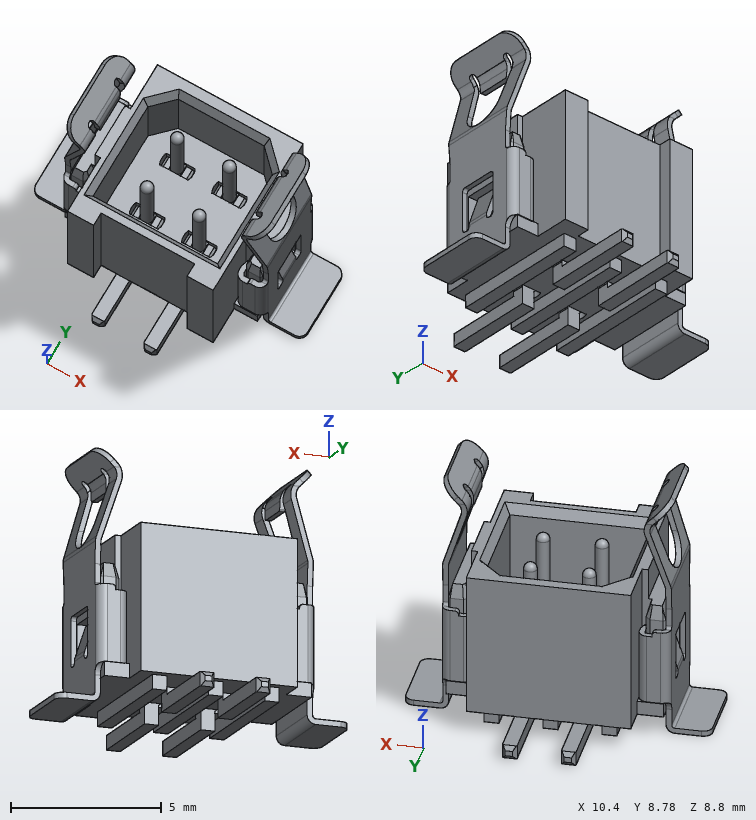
import cadquery as cq
import math

HOUSING_HALF_X = 2.79
HOUSING_REAR_Y = 2.79
HOUSING_FRONT_Y = -3.18
HOUSING_BOTTOM_Z = 0.8
HOUSING_TOP_Z = 5.91
FRONT_RECESS_HALF_X = 1.79
FRONT_RECESS_DEPTH = 0.5

CAVITY_HALF_X = 2.38
CAVITY_HALF_Y = 2.19
CAVITY_CORNER = 0.74
CAVITY_FLOOR_Z = 2.73
LEAD_IN_WIDTH = 0.22
LEAD_IN_DEPTH = 0.34

STANDOFF_PITCH = 2.0
STANDOFF_WIDTH = 0.51
STANDOFF_HALF_Y = 2.5
STANDOFF_BOTTOM_Z = 0.3

PAD_FACE_X = 3.0
PAD_HALF_Y = 1.0
LEDGE_HALF_Y = 1.79
LEDGE_TOP_Z = 1.3
POST_HALF_Y = 1.51
POST_OUTER_CHAMFER = 0.07
POST_INNER_CHAMFER = 0.17
POST_SHOULDER_Z = 4.31
POST_TOP_Z = 4.81
POST_TAPER = 15
POCKET_HALF_Y = 0.7
POCKET_TOP_Z = 3.2
POCKET_DEPTH = 0.46

PIN_PITCH = 2.0
PIN_THICKNESS = 0.46
PIN_BOTTOM_Z = 0.05
PIN_TOP_Z = 5.7
LEAD_WIDTH = 0.5
LEAD_TIP_Y = 4.388
LEAD_TIP_LENGTH = 0.12
LEAD_TIP_INSET = 0.16
BARB_HALF_X = 0.54
BARB_TOP_HALF_X = 0.45
BARB_START_Z = 0.73
BARB_TOP_Z = 2.5
PIN_SQUARE_TOP_Z = 2.6
PIN_SLOT_RADIUS = 0.59

SHEET = 0.2
PLATE_OUTER_X = 3.88
PLATE_HALF_Y = 1.41
FOOT_END_X = 5.2
FOOT_BEND = 0.1
FOOT_CORNER = 0.32
SHOULDER_BEND = 0.3
SHOULDER_Z = 5.51
LEAN = 17.9
CROWN_BEND = 0.4
TIP_ANGLE = 135
CLIP_TOP_Z = 8.8
TIP_HALF_Y = 1.69
TIP_CORNER = 0.67
FLARE_START_Z = 4.74
FLARE_END_Z = 8.06

OPENING_BOTTOM_Z = 5.65
OPENING_ARC_Z = 6.45
OPENING_ARC_HALF_Y = 0.81
OPENING_TOP_HALF_Y = 1.0
SLOT_RISE = 0.04
SLOT_RUN = 0.26
TONGUE_TOP_HALF_Y = 0.72
TONGUE_TIP_HALF_Y = 0.66
TONGUE_TIP_Z = 7.44
TONGUE_TIP_CORNER = 0.06

WING_HALF_Y = 1.76
WING_BEND = 0.11
WING_TOP_Z = 3.99
WING_TOP_FILLET = 0.1
WING_FOOT_RADIUS = 0.4
LIP_TOP_Z = 3.81
LIP_STEP_X = 3.28
LIP_STEP_RADIUS = 0.12
LIP_GAP_HALF_Y = 1.02
LIP_FLARE_HALF_Y = 1.29
LIP_FLARE_DEPTH = 0.09

WINDOW_HALF_Y = 0.765
WINDOW_BOTTOM_Z = 1.7
WINDOW_TOP_Z = 3.45
WINDOW_CORNER = 0.12
LATCH_HALF_Y = 0.44
LATCH_ROOT_Z = 1.82
LATCH_BEND_Z = 1.92
LATCH_TOP_Z = 3.09
LATCH_LEAN = 19
LATCH_BEND = 0.44

PLATE_INNER_X = PLATE_OUTER_X - SHEET
CLIP_REACH = FOOT_END_X + 0.1


def block(x0, x1, y0, y1, z0, z1):
    """Axis-aligned box between the given limits."""
    return cq.Workplane("XY").box(x1 - x0, y1 - y0, z1 - z0, centered=False).translate((x0, y0, z0))


def extrude_along_y(profile, half_width):
    """Extrude a closed XZ profile evenly to both sides of y = 0."""
    return profile.extrude(half_width, both=True)


def polar(centre, radius, angle):
    """Point at an angle in degrees on a circle."""
    turn = math.radians(angle)
    return (centre[0] + radius * math.cos(turn), centre[1] + radius * math.sin(turn))


def mirror_x(body):
    return body.mirror("YZ")


def cavity_outline(z, grow):
    """Cavity outline with its two rear corners cut off, grown evenly by an offset."""
    half_x = CAVITY_HALF_X + grow
    half_y = CAVITY_HALF_Y + grow
    corner = CAVITY_CORNER + grow * (2 - math.sqrt(2))
    return cq.Workplane("XY", origin=(0, 0, z)).polyline([
        (-half_x, -half_y),
        (half_x, -half_y),
        (half_x, half_y - corner),
        (half_x - corner, half_y),
        (corner - half_x, half_y),
        (-half_x, half_y - corner),
    ]).close()


def make_cavity():
    mouth_z = HOUSING_TOP_Z - LEAD_IN_DEPTH
    well = cavity_outline(CAVITY_FLOOR_Z, 0).extrude(mouth_z - CAVITY_FLOOR_Z)
    small = cavity_outline(mouth_z, 0).wires().val()
    large = cavity_outline(HOUSING_TOP_Z, LEAD_IN_WIDTH).wires().val()
    lead_in = cq.Workplane(cq.Solid.makeLoft([small, large], True))
    return well.union(lead_in)


def make_clip_mount():
    """Pad, ledge and tapered post that hold the clip on the +X side."""
    pad = block(CAVITY_HALF_X + LEAD_IN_WIDTH, PAD_FACE_X, -PAD_HALF_Y, PAD_HALF_Y,
                HOUSING_BOTTOM_Z, HOUSING_TOP_Z)
    ledge = block(HOUSING_HALF_X, PLATE_INNER_X, -LEDGE_HALF_Y, LEDGE_HALF_Y,
                  HOUSING_BOTTOM_Z, LEDGE_TOP_Z)
    post = block(PAD_FACE_X, PLATE_INNER_X, -POST_HALF_Y, POST_HALF_Y, LEDGE_TOP_Z, POST_SHOULDER_Z)
    post = post.edges("|Z and >X").chamfer(POST_OUTER_CHAMFER)
    post = post.edges("|Z and <X").chamfer(POST_INNER_CHAMFER)
    post_tip = (
        post.faces(">Z").wires().toPending()
        .workplane(origin=(0, 0, POST_SHOULDER_Z))
        .extrude(POST_TOP_Z - POST_SHOULDER_Z, taper=POST_TAPER, combine=False)
    )
    tip_root = block(PAD_FACE_X, (PAD_FACE_X + PLATE_INNER_X) / 2, -PAD_HALF_Y, PAD_HALF_Y,
                     POST_SHOULDER_Z, POST_TOP_Z)
    pocket = block(PLATE_INNER_X - POCKET_DEPTH, PLATE_INNER_X, -POCKET_HALF_Y, POCKET_HALF_Y,
                   WINDOW_BOTTOM_Z, POCKET_TOP_Z)
    return pad.union(ledge).union(post).union(post_tip).union(tip_root).cut(pocket)


def make_pin_slot():
    """Slot through the floor with ends rounded about the pin axis."""
    depth = CAVITY_FLOOR_Z - HOUSING_BOTTOM_Z
    base = cq.Workplane("XY", origin=(0, 0, HOUSING_BOTTOM_Z))
    sides = base.rect(2 * PIN_SLOT_RADIUS, PIN_THICKNESS).extrude(depth)
    return sides.intersect(base.circle(PIN_SLOT_RADIUS).extrude(depth))


def make_housing():
    body = block(-HOUSING_HALF_X, HOUSING_HALF_X, HOUSING_FRONT_Y, HOUSING_REAR_Y,
                 HOUSING_BOTTOM_Z, HOUSING_TOP_Z)
    body = body.cut(block(-FRONT_RECESS_HALF_X, FRONT_RECESS_HALF_X,
                          HOUSING_FRONT_Y, HOUSING_FRONT_Y + FRONT_RECESS_DEPTH,
                          HOUSING_BOTTOM_Z, HOUSING_TOP_Z))
    mount = make_clip_mount()
    body = body.union(mount).union(mirror_x(mount))
    for column in (-1, 0, 1):
        middle = column * STANDOFF_PITCH
        body = body.union(block(middle - STANDOFF_WIDTH / 2, middle + STANDOFF_WIDTH / 2,
                                -STANDOFF_HALF_Y, STANDOFF_HALF_Y,
                                STANDOFF_BOTTOM_Z, HOUSING_BOTTOM_Z))
    body = body.cut(make_cavity())
    slot = make_pin_slot()
    for x, y in pin_places():
        body = body.cut(slot.translate((x, y, 0)))
    return body


def pin_places():
    half = PIN_PITCH / 2
    return [(x, y) for x in (-half, half) for y in (-half, half)]


def make_pin():
    """Pin on the Z axis: round contact, barbed root and a lead that runs toward +Y."""
    half_lead = LEAD_WIDTH / 2
    radius = PIN_THICKNESS / 2
    widen = BARB_HALF_X - half_lead
    narrow = BARB_HALF_X - BARB_TOP_HALF_X
    right_side = [
        (half_lead, PIN_BOTTOM_Z),
        (half_lead, BARB_START_Z),
        (BARB_HALF_X, BARB_START_Z + widen),
        (BARB_HALF_X, BARB_TOP_Z - narrow),
        (BARB_TOP_HALF_X, BARB_TOP_Z),
        (radius, BARB_TOP_Z),
        (radius, PIN_SQUARE_TOP_Z),
    ]
    left_side = [(-x, z) for x, z in reversed(right_side)]
    root = extrude_along_y(cq.Workplane("XZ").polyline(right_side + left_side).close(), radius)

    dome_z = PIN_TOP_Z - radius
    contact = (
        cq.Workplane("XY", origin=(0, 0, PIN_SQUARE_TOP_Z))
        .circle(radius).extrude(dome_z - PIN_SQUARE_TOP_Z)
    )
    dome = cq.Workplane("XY").sphere(radius).translate((0, 0, dome_z))

    lead = block(-half_lead, half_lead, -radius, LEAD_TIP_Y - PIN_PITCH / 2,
                 PIN_BOTTOM_Z, PIN_BOTTOM_Z + LEAD_WIDTH)
    lead = lead.faces(">Y").chamfer(LEAD_TIP_INSET, LEAD_TIP_LENGTH)
    return root.union(contact).union(dome).union(lead)


def place_pin(x, y):
    """Pin at its place, its lead turned away from the middle of the housing."""
    turn = 0 if y > 0 else 180
    return make_pin().rotate((0, 0, 0), (0, 0, 1), turn).translate((x, y, 0))


FOOT_CENTRE = (PLATE_OUTER_X + FOOT_BEND, SHEET + FOOT_BEND)
SHOULDER_CENTRE = (PLATE_INNER_X - SHOULDER_BEND, SHOULDER_Z)
CROWN_X = PAD_FACE_X + SHEET + CROWN_BEND
CROWN_Z = SHOULDER_Z + (
    SHOULDER_BEND + SHEET + CROWN_BEND
    - (CROWN_X - SHOULDER_CENTRE[0]) * math.cos(math.radians(LEAN))
) / math.sin(math.radians(LEAN))
CROWN_CENTRE = (CROWN_X, CROWN_Z)


def make_clip_strip():
    """Bent sheet from the foot to the tip, at full tip width."""
    lower_lean = 180 + LEAN
    foot_out = FOOT_BEND + SHEET
    shoulder_out = SHOULDER_BEND + SHEET
    crown_out = CROWN_BEND + SHEET
    tip_start = polar(CROWN_CENTRE, crown_out, TIP_ANGLE)
    tip_rise = CLIP_TOP_Z - tip_start[1]
    tip_inner = (tip_start[0] + tip_rise, CLIP_TOP_Z)
    tip_outer = polar(tip_inner, SHEET, TIP_ANGLE - 180)
    profile = (
        cq.Workplane("XZ")
        .moveTo(FOOT_END_X, 0)
        .lineTo(*polar(FOOT_CENTRE, foot_out, 270))
        .threePointArc(polar(FOOT_CENTRE, foot_out, 225), polar(FOOT_CENTRE, foot_out, 180))
        .lineTo(*polar(SHOULDER_CENTRE, SHOULDER_BEND, 0))
        .threePointArc(polar(SHOULDER_CENTRE, SHOULDER_BEND, LEAN / 2),
                       polar(SHOULDER_CENTRE, SHOULDER_BEND, LEAN))
        .lineTo(*polar(CROWN_CENTRE, crown_out, lower_lean))
        .threePointArc(polar(CROWN_CENTRE, crown_out, 180), tip_start)
        .lineTo(*tip_inner)
        .lineTo(*tip_outer)
        .lineTo(*polar(CROWN_CENTRE, CROWN_BEND, TIP_ANGLE))
        .threePointArc(polar(CROWN_CENTRE, CROWN_BEND, 180),
                       polar(CROWN_CENTRE, CROWN_BEND, lower_lean))
        .lineTo(*polar(SHOULDER_CENTRE, shoulder_out, LEAN))
        .threePointArc(polar(SHOULDER_CENTRE, shoulder_out, LEAN / 2),
                       polar(SHOULDER_CENTRE, shoulder_out, 0))
        .lineTo(*polar(FOOT_CENTRE, FOOT_BEND, 180))
        .threePointArc(polar(FOOT_CENTRE, FOOT_BEND, 225), polar(FOOT_CENTRE, FOOT_BEND, 270))
        .lineTo(FOOT_END_X, SHEET)
        .close()
    )
    return extrude_along_y(profile, TIP_HALF_Y)


def make_clip_outline():
    """Prism along X with the clip's side outline: straight below, flared above."""
    right_side = [
        (PLATE_HALF_Y, 0),
        (PLATE_HALF_Y, FLARE_START_Z),
        (TIP_HALF_Y, FLARE_END_Z),
        (TIP_HALF_Y, CLIP_TOP_Z),
    ]
    left_side = [(-y, z) for y, z in reversed(right_side)]
    return cq.Workplane("YZ").polyline(right_side + left_side).close().extrude(CLIP_REACH)


def make_finger_opening():
    """U-shaped opening under the crown, including the room for the tongue."""
    return (
        cq.Workplane("YZ")
        .moveTo(-OPENING_TOP_HALF_Y, FLARE_END_Z)
        .lineTo(-OPENING_ARC_HALF_Y, OPENING_ARC_Z)
        .threePointArc((0, OPENING_BOTTOM_Z), (OPENING_ARC_HALF_Y, OPENING_ARC_Z))
        .lineTo(OPENING_TOP_HALF_Y, FLARE_END_Z)
        .close()
        .extrude(CLIP_REACH)
    )


def make_slot_end(side):
    """Round slot end beside the tongue, cut square through the 45-degree tip."""
    mid_y = side * (OPENING_TOP_HALF_Y + TONGUE_TOP_HALF_Y) / 2
    width = OPENING_TOP_HALF_Y - TONGUE_TOP_HALF_Y
    tip_x, tip_z = polar(CROWN_CENTRE, CROWN_BEND + SHEET / 2, TIP_ANGLE)
    face = cq.Plane(origin=(tip_x, mid_y, tip_z), xDir=(0, 1, 0), normal=(1, 0, -1))
    depth = 2 * SHEET
    rounded = cq.Workplane(face).center(0, SLOT_RISE).circle(width / 2).extrude(depth / 2, both=True)
    straight = (
        cq.Workplane(face).center(0, SLOT_RISE - SLOT_RUN / 2)
        .rect(width, SLOT_RUN).extrude(depth / 2, both=True)
    )
    return rounded.union(straight)


def make_tongue():
    """Tongue that leaves the crown bend and hangs straight down in the opening."""
    crown_out = CROWN_BEND + SHEET
    middle = (180 + TIP_ANGLE) / 2
    bent = extrude_along_y(
        cq.Workplane("XZ")
        .moveTo(PAD_FACE_X, TONGUE_TIP_Z)
        .lineTo(*polar(CROWN_CENTRE, crown_out, 180))
        .threePointArc(polar(CROWN_CENTRE, crown_out, middle),
                       polar(CROWN_CENTRE, crown_out, TIP_ANGLE))
        .lineTo(*polar(CROWN_CENTRE, CROWN_BEND, TIP_ANGLE))
        .threePointArc(polar(CROWN_CENTRE, CROWN_BEND, middle), polar(CROWN_CENTRE, CROWN_BEND, 180))
        .lineTo(PAD_FACE_X + SHEET, TONGUE_TIP_Z)
        .close(),
        TONGUE_TOP_HALF_Y,
    )
    sides = cq.Workplane("YZ").polyline([
        (-TONGUE_TIP_HALF_Y, TONGUE_TIP_Z),
        (TONGUE_TIP_HALF_Y, TONGUE_TIP_Z),
        (TONGUE_TOP_HALF_Y, FLARE_END_Z),
        (TONGUE_TOP_HALF_Y, CLIP_TOP_Z),
        (-TONGUE_TOP_HALF_Y, CLIP_TOP_Z),
        (-TONGUE_TOP_HALF_Y, FLARE_END_Z),
    ]).close().extrude(CLIP_REACH)
    tongue = bent.intersect(sides)
    return tongue.edges("|X and <Z").fillet(TONGUE_TIP_CORNER)


def make_wing_channel(low_z, high_z):
    """C-shaped channel: plate, two wings and lips that turn in behind the post."""
    channel = block(HOUSING_HALF_X, PLATE_OUTER_X, -WING_HALF_Y, WING_HALF_Y, low_z, high_z)
    channel = channel.edges("|Z").fillet(WING_BEND + SHEET)
    inside_half_y = WING_HALF_Y - SHEET
    inside = block(HOUSING_HALF_X + SHEET, PLATE_INNER_X, -inside_half_y, inside_half_y, low_z, high_z)
    inside = inside.edges("|Z").fillet(WING_BEND)
    gap = [
        (HOUSING_HALF_X, LIP_FLARE_HALF_Y),
        (HOUSING_HALF_X + LIP_FLARE_DEPTH, LIP_GAP_HALF_Y),
        (HOUSING_HALF_X + SHEET, LIP_GAP_HALF_Y),
    ]
    gap += [(x, -y) for x, y in reversed(gap)]
    lip_gap = cq.Workplane("XY", origin=(0, 0, low_z)).polyline(gap).close().extrude(high_z - low_z)
    return channel.cut(inside).cut(lip_gap)


def make_wings():
    low_z = LEDGE_TOP_Z - WING_FOOT_RADIUS
    high_z = WING_TOP_Z + WING_TOP_FILLET
    diagonal = math.sqrt(0.5)
    foot_y = PLATE_HALF_Y + WING_FOOT_RADIUS
    fillet_y = PLATE_HALF_Y + WING_TOP_FILLET
    half_outline = (
        cq.Workplane("YZ")
        .moveTo(0, low_z)
        .lineTo(PLATE_HALF_Y, low_z)
        .threePointArc((foot_y - WING_FOOT_RADIUS * diagonal, low_z + WING_FOOT_RADIUS * diagonal),
                       (foot_y, LEDGE_TOP_Z))
        .lineTo(foot_y, WING_TOP_Z)
        .lineTo(fillet_y, WING_TOP_Z)
        .threePointArc((fillet_y - WING_TOP_FILLET * diagonal, high_z - WING_TOP_FILLET * diagonal),
                       (PLATE_HALF_Y, high_z))
        .lineTo(0, high_z)
        .close()
        .extrude(CLIP_REACH)
    )
    outline = half_outline.union(half_outline.mirror("XZ"))
    wings = make_wing_channel(low_z, high_z).intersect(outline)

    ledge_room = block(HOUSING_HALF_X, PLATE_INNER_X, -LEDGE_HALF_Y, LEDGE_HALF_Y, low_z, LEDGE_TOP_Z)
    step_end_x = LIP_STEP_X + LIP_STEP_RADIUS
    round_z = WING_TOP_Z - LIP_STEP_RADIUS
    lip_step = extrude_along_y(
        cq.Workplane("XZ")
        .moveTo(HOUSING_HALF_X, LIP_TOP_Z)
        .lineTo(LIP_STEP_X, LIP_TOP_Z)
        .lineTo(LIP_STEP_X, round_z)
        .threePointArc((step_end_x - LIP_STEP_RADIUS * diagonal, round_z + LIP_STEP_RADIUS * diagonal),
                       (step_end_x, WING_TOP_Z))
        .lineTo(step_end_x, high_z)
        .lineTo(HOUSING_HALF_X, high_z)
        .close(),
        WING_HALF_Y,
    )
    return wings.cut(ledge_room).cut(lip_step)


def make_window():
    """Window over the latch, with a round-cornered slot down each side of its root."""
    window = block(PLATE_INNER_X, PLATE_OUTER_X, -WINDOW_HALF_Y, WINDOW_HALF_Y,
                   LATCH_ROOT_Z, WINDOW_TOP_Z)
    window = window.edges("|X and >Z").fillet(WINDOW_CORNER)
    slot = block(PLATE_INNER_X, PLATE_OUTER_X, LATCH_HALF_Y, WINDOW_HALF_Y,
                 WINDOW_BOTTOM_Z, LATCH_BEND_Z)
    slot = slot.edges("|X and <Z").fillet(WINDOW_CORNER)
    return window.union(slot).union(slot.mirror("XZ"))


def make_latch():
    """Latch tongue that rises from the window's lower edge and leans into the post pocket."""
    shift = (LATCH_TOP_Z - LATCH_BEND_Z) * math.tan(math.radians(LATCH_LEAN))
    profile = cq.Workplane("XZ").polyline([
        (PLATE_INNER_X, LATCH_ROOT_Z),
        (PLATE_OUTER_X, LATCH_ROOT_Z),
        (PLATE_OUTER_X, LATCH_BEND_Z),
        (PLATE_OUTER_X - shift, LATCH_TOP_Z),
        (PLATE_INNER_X - shift, LATCH_TOP_Z),
        (PLATE_INNER_X, LATCH_BEND_Z),
    ]).close()
    latch = extrude_along_y(profile, LATCH_HALF_Y)
    bend_edge = cq.selectors.NearestToPointSelector((PLATE_OUTER_X, 0, LATCH_BEND_Z))
    return latch.edges(bend_edge).fillet(LATCH_BEND)


def make_clip():
    """Spring clip on the +X side."""
    clip = make_clip_strip().intersect(make_clip_outline())
    clip = clip.edges("|Z and >X").fillet(FOOT_CORNER)
    across_tip = cq.selectors.ParallelDirSelector(cq.Vector(1, 0, -1))
    clip = clip.edges(across_tip).fillet(TIP_CORNER)
    clip = clip.union(make_wings()).cut(make_window()).union(make_latch())
    clip = clip.cut(make_finger_opening())
    for side in (-1, 1):
        clip = clip.cut(make_slot_end(side))
    return clip.union(make_tongue())


housing = make_housing()
pins = [place_pin(x, y) for x, y in pin_places()]
right_clip = make_clip()
clips = [right_clip, mirror_x(right_clip)]

result = cq.Compound.makeCompound([
    housing.val(),
    *[pin.val() for pin in pins],
    *[clip.val() for clip in clips],
])